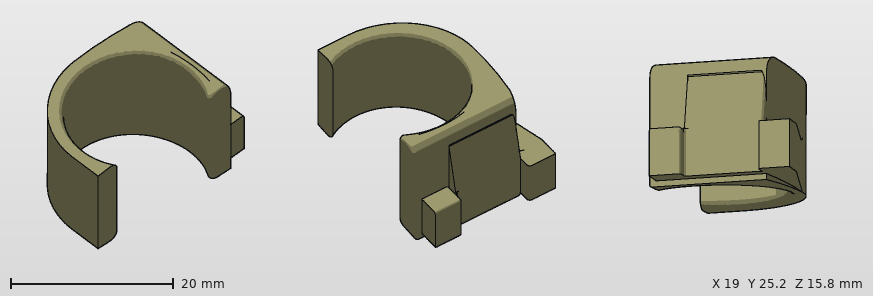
import cadquery as cq
import math

bore_radius = 8.97
outer_radius = 10.99
lip_round = 1.0
lower_jaw_x = 4.5
upper_jaw_x = 5.4
jaw_tip_round = 0.48

back_y = 11.25
middle_half_height = 7.23
taper_angle = 3.8
back_corner_x = -9.75
back_top_round = 2.0

flange_bottom = -middle_half_height
flange_top = -1.2
flange_height = flange_top - flange_bottom
flange_back_y = 14.21
flange_left_x = -13.6
slot_floor_y = 12.7
lean_angle = 11.7
slot_left_x = -9.58
slot_right_x = 0.35
block_right_x = 4.4
block_overlap = 0.5
slot_corner_round = 0.45
web_corner_round = 0.78
web_overlap = 1.5
flange_fillet = 1.0

block_reach = 15.12
lip_search = bore_radius + 0.25

taper = math.tan(math.radians(taper_angle))
lean = math.tan(math.radians(lean_angle))


def half_height(y):
    """Height of the tapered top above the middle plane."""
    return middle_half_height + taper * y


def side_x(y):
    """Left edge of the body: a shallow arc tangent to the ring at Y = 0."""
    corner_shift = back_corner_x + outer_radius
    side_radius = (back_y**2 + corner_shift**2) / (2 * corner_shift)
    return -outer_radius + side_radius - math.sqrt(side_radius**2 - y**2)


def make_plan(height_bottom, height):
    """Body outline seen along Z, reaching back to the back wall."""
    return (
        cq.Workplane("XY", origin=(0, 0, height_bottom))
        .moveTo(upper_jaw_x, back_y)
        .lineTo(back_corner_x, back_y)
        .threePointArc((side_x(back_y / 2), back_y / 2), (-outer_radius, 0))
        .radiusArc((0, -outer_radius), -outer_radius)
        .lineTo(lower_jaw_x, -outer_radius)
        .lineTo(lower_jaw_x, 0)
        .lineTo(upper_jaw_x, 0)
        .close()
        .extrude(height)
    )


def make_wedge():
    """Body profile seen along X: tapered top and bottom, with the leaning face at the back."""
    rise = half_height(slot_floor_y) - flange_top
    crest_y = slot_floor_y - rise * lean / (1 - taper * lean)
    profile = [
        (-outer_radius, -half_height(-outer_radius)),
        (slot_floor_y, -half_height(slot_floor_y)),
        (slot_floor_y, flange_top),
        (crest_y, half_height(crest_y)),
        (-outer_radius, half_height(-outer_radius)),
    ]
    width = upper_jaw_x + outer_radius
    wedge = cq.Workplane("YZ", origin=(-outer_radius, 0, 0)).polyline(profile).close().extrude(width)
    crest = cq.selectors.NearestToPointSelector((upper_jaw_x - width / 2, crest_y, half_height(crest_y)))
    return wedge.edges(crest).fillet(back_top_round)


def make_body():
    full_height = 2 * half_height(slot_floor_y)
    body = make_plan(-full_height / 2, full_height)
    body = body.intersect(make_wedge()).intersect(make_lipped_block())
    return body.faces(">X").edges().fillet(jaw_tip_round)


def make_lipped_block():
    """Oversized tapered block around the bore, with both bore edges rounded."""
    profile = [
        (-block_reach, -half_height(-block_reach)),
        (block_reach, -half_height(block_reach)),
        (block_reach, half_height(block_reach)),
        (-block_reach, half_height(-block_reach)),
    ]
    block = (
        cq.Workplane("YZ", origin=(-block_reach, 0, 0))
        .polyline(profile)
        .close()
        .extrude(2 * block_reach)
    )
    full_height = 2 * half_height(block_reach)
    bore = cq.Workplane("XY", origin=(0, 0, -full_height / 2)).circle(bore_radius).extrude(full_height)
    lips = cq.selectors.BoxSelector(
        (-lip_search, -lip_search, -full_height), (lip_search, lip_search, full_height), boundingbox=True
    )
    return block.cut(bore).edges(lips).edges("not |Z").fillet(lip_round)


def make_web():
    """Leaning web between the flange parts, with its left corner rounded."""
    foot_y = back_y - web_overlap
    crest_z = flange_top + (slot_floor_y - foot_y) / lean
    profile = [
        (foot_y, flange_bottom),
        (slot_floor_y, flange_bottom),
        (slot_floor_y, flange_top),
        (foot_y, crest_z),
    ]
    width = slot_right_x - back_corner_x
    web = cq.Workplane("YZ", origin=(back_corner_x, 0, 0)).polyline(profile).close().extrude(width)
    lower_corner = cq.selectors.NearestToPointSelector(
        (back_corner_x, slot_floor_y, (flange_bottom + flange_top) / 2)
    )
    leaning_corner = cq.selectors.NearestToPointSelector(
        (back_corner_x, (slot_floor_y + foot_y) / 2, (flange_top + crest_z) / 2)
    )
    web = web.edges(lower_corner + leaning_corner).fillet(web_corner_round)
    behind_wall = cq.Workplane("XY").box(2 * width, slot_floor_y, 2 * block_reach)
    behind_wall = behind_wall.translate((0, back_y + slot_floor_y / 2, 0))
    return web.intersect(behind_wall)


def make_left_flange():
    return (
        cq.Workplane("XY", origin=(0, 0, flange_bottom))
        .moveTo(-outer_radius, 0)
        .lineTo(flange_left_x, back_y)
        .lineTo(flange_left_x, flange_back_y)
        .lineTo(slot_left_x, flange_back_y)
        .lineTo(slot_left_x, back_y)
        .lineTo(back_corner_x, back_y)
        .threePointArc((side_x(back_y / 2), back_y / 2), (-outer_radius, 0))
        .close()
        .extrude(flange_height)
        .edges("|Z and >Y and >X")
        .fillet(slot_corner_round)
    )


def make_right_block():
    block = (
        cq.Workplane("XY", origin=(0, 0, flange_bottom))
        .moveTo(slot_right_x, back_y - block_overlap)
        .lineTo(block_right_x, back_y - block_overlap)
        .lineTo(block_right_x, flange_back_y)
        .lineTo(slot_right_x, flange_back_y)
        .close()
        .extrude(flange_height)
    )
    block = block.faces(">Z").edges(">Y").fillet(slot_corner_round)
    return block.edges("|Z and <X and >Y").fillet(slot_corner_round)


def make_slot_corner():
    """Concave round where the slot floor meets the right block."""
    return (
        cq.Workplane("XY", origin=(0, 0, flange_bottom))
        .moveTo(slot_right_x, slot_floor_y)
        .lineTo(slot_right_x, slot_floor_y + slot_corner_round)
        .radiusArc((slot_right_x - slot_corner_round, slot_floor_y), slot_corner_round)
        .close()
        .extrude(flange_height)
    )


def make_flange_fillet():
    """Concave round between the body side and the flange top, trimmed to the flange outline."""
    arc_points = (side_x(back_y / 2), back_y / 2), (back_corner_x, back_y)
    path = cq.Workplane("XY", origin=(0, 0, flange_top)).moveTo(-outer_radius, 0).threePointArc(*arc_points)
    section = (
        cq.Workplane("XZ", origin=(-outer_radius, 0, flange_top))
        .lineTo(-flange_fillet, 0)
        .radiusArc((0, flange_fillet), -flange_fillet)
        .close()
    )
    flange_limit = make_left_flange().translate((0, 0, flange_height))
    return section.sweep(path).intersect(flange_limit)


result = (
    make_body()
    .union(make_web())
    .union(make_left_flange())
    .union(make_right_block())
    .union(make_slot_corner())
    .union(make_flange_fillet())
)